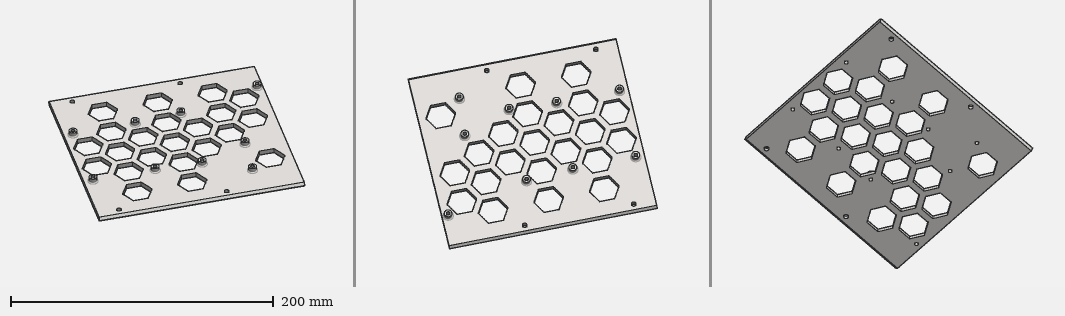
import cadquery as cq
import math

plate_width = 148.5
plate_length = 161.8
plate_thickness = 4.0
edge_inset = 1.8

hex_flats = 20.0
hex_columns_span = 100.0
hex_columns = 5
hex_pitch = hex_columns_span / (hex_columns - 1)
hex_row_spacing = hex_pitch * math.sin(math.radians(60))
hex_grid_y = -1.5
hex_corner_diameter = hex_flats / math.cos(math.radians(30))
hex_rows = {
    3: (-1.5, -0.5, 1.5),
    2: (-2, -1, 0),
    1: (-0.5, 0.5),
    0: (-2, -1, 0, 1, 2),
    -1: (-0.5, 0.5),
    -2: (-2, -1, 0, 1, 2),
    -3: (-0.5, 0.5),
}

mount_hole_diameter = 3.5
mount_hole_x = 67.7
mount_hole_ys = (21.0, -64.0)

standoff_diameter = 6.0
standoff_height = 3.9
standoff_bore_diameter = 2.8
standoff_fillet = 1.0
lower_standoff_x = 29.0
standoff_points = [
    (-47.3, 76.2),
    (16.5, 49.4),
    (48.4, 46.6),
    (-31.2, 11.7),
    (30.9, 11.7),
    (-lower_standoff_x, -25.0),
    (lower_standoff_x, -25.0),
    (-lower_standoff_x, -74.0),
    (lower_standoff_x, -74.0),
]


def make_plate():
    half_width = plate_width / 2
    face_half_width = half_width - edge_inset
    half_thickness = plate_thickness / 2
    profile = [
        (-half_width, 0),
        (-face_half_width, half_thickness),
        (face_half_width, half_thickness),
        (half_width, 0),
        (face_half_width, -half_thickness),
        (-face_half_width, -half_thickness),
    ]
    plate = cq.Workplane("XZ").polyline(profile).close().extrude(plate_length / 2, both=True)
    return plate.translate((0, 0, half_thickness))


def make_hole_cutters(points, diameter, height):
    return cq.Workplane("XY").pushPoints(points).circle(diameter / 2).extrude(height)


def make_hex_windows(height):
    centres = [
        (column * hex_pitch, hex_grid_y + row * hex_row_spacing)
        for row, columns in hex_rows.items()
        for column in columns
    ]
    outline = cq.Sketch().regularPolygon(hex_corner_diameter / 2, 6)
    return cq.Workplane("XY").pushPoints(centres).placeSketch(outline).extrude(height)


def make_standoff():
    radius = standoff_diameter / 2
    foot_radius = radius + standoff_fillet
    arc_offset = standoff_fillet * (1 - math.sqrt(0.5))
    half_section = (
        cq.Workplane("XZ")
        .lineTo(foot_radius, 0)
        .threePointArc((radius + arc_offset, arc_offset), (radius, standoff_fillet))
        .lineTo(radius, standoff_height)
        .lineTo(0, standoff_height)
        .close()
    )
    return half_section.revolve(360, (0, 0, 0), (0, 1, 0))


mount_points = [(side * mount_hole_x, y) for side in (-1, 1) for y in mount_hole_ys]

result = make_plate()
standoff = make_standoff()
for x, y in standoff_points:
    result = result.union(standoff.translate((x, y, plate_thickness)))

total_height = plate_thickness + standoff_height
result = result.cut(make_hex_windows(total_height))
result = result.cut(make_hole_cutters(mount_points, mount_hole_diameter, plate_thickness))
result = result.cut(make_hole_cutters(standoff_points, standoff_bore_diameter, total_height))